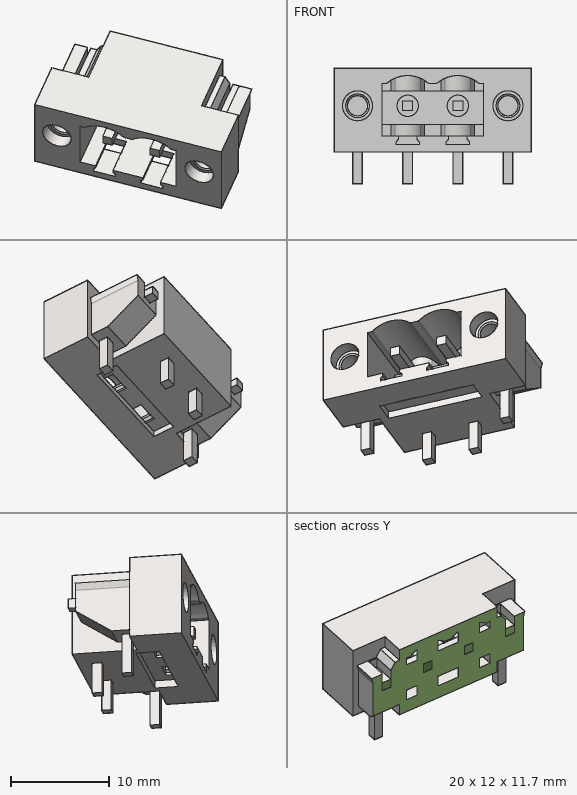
import cadquery as cq
import math


flange_length = 19.96
flange_depth = 5.33
housing_height = 8.5
housing_depth = 12.0
block_width = 12.05

pitch = 5.07
pin_size = 1.0
axis_height = 4.7
pin_tail = 3.2
contact_xs = [-pitch / 2, pitch / 2]
fixing_xs = [-1.5 * pitch, 1.5 * pitch]
contact_tip_y = 1.0
contact_rear_y = 10.5
fixing_front_y = 5.49

cavity_width = 10.22
cavity_floor = 1.62
cavity_ceiling = 6.97
cavity_depth = 8.58
scallop_radius = 3.2
scallop_peak = 7.75
scallop_blend_radius = 0.2

bar_bottom = 2.8
bar_top = 6.17
bar_depth = 1.4
bump_base_half = 1.7
bump_shoulder_half = 1.28
bump_shoulder_y = 0.8
collar_radius = 1.08
collar_depth = 0.4

groove_length = 4.17
groove_bottom = 0.78
groove_flare_bottom = 1.04
groove_flare_top = 1.3
groove_neck_half = 0.94
groove_base_half = 1.18
recess_front_y = 3.2
recess_rear_y = 5.59

insert_radius = 1.52
insert_front_y = 1.4
insert_length = 2.8
insert_bore_radius = 1.02
insert_mouth_radius = 1.2
insert_mouth_depth = 0.1

wing_outer_x = 9.46
wing_rear_y = 11.02
wing_bottom = 0.98
wing_slant_y = 7.33
wing_slant_z = 3.37
wing_top = 6.33
wing_lip_bottom = 5.6
wing_lip_overhang = 0.18
ridge_top = 7.15
ridge_width = 0.55


def box(x_min, x_max, y_min, y_max, z_min, z_max):
    """Box given by its limits along each axis."""
    size = (x_max - x_min, y_max - y_min, z_max - z_min)
    return cq.Workplane("XY").box(*size, centered=False).translate((x_min, y_min, z_min))


def extrude_back(profile, y_start, length):
    """Extrude an XZ profile from y_start toward the rear."""
    return profile.extrude(-length).translate((0, y_start, 0))


def rod(x, radius, y_start, length):
    """Cylinder along Y at the height of the pin axis."""
    profile = cq.Workplane("XZ").center(x, axis_height).circle(radius)
    return extrude_back(profile, y_start, length)


def contact_pin(x):
    """Angled contact: a tip into the cavity and a tail down through the housing."""
    half = pin_size / 2
    tip = box(x - half, x + half, contact_tip_y, contact_rear_y, axis_height - half, axis_height + half)
    tail = box(x - half, x + half, contact_rear_y - pin_size, contact_rear_y, -pin_tail, axis_height + half)
    return tip.union(tail)


def fixing_pin(x):
    """Angled solder pin lying in a wing, with its tail at the flange end."""
    half = pin_size / 2
    bar = box(x - half, x + half, fixing_front_y, housing_depth, axis_height - half, axis_height + half)
    tail = box(x - half, x + half, fixing_front_y, fixing_front_y + pin_size, -pin_tail, axis_height + half)
    return bar.union(tail)


def threaded_insert(x):
    """Sleeve with a countersunk mouth."""
    sleeve = rod(x, insert_radius, insert_front_y, insert_length)
    bore = rod(x, insert_bore_radius, insert_front_y, insert_length)
    countersink = cq.Solid.makeCone(
        insert_mouth_radius,
        insert_bore_radius,
        insert_mouth_depth,
        pnt=cq.Vector(x, insert_front_y, axis_height),
        dir=cq.Vector(0, 1, 0),
    )
    return sleeve.cut(bore).cut(cq.Workplane(countersink))


def cavity():
    """Plug opening whose ceiling has one rounded scallop above each contact."""
    half = cavity_width / 2
    arc_center_z = scallop_peak - scallop_radius
    blend_center_z = cavity_ceiling + scallop_blend_radius
    center_distance = scallop_radius + scallop_blend_radius
    blend_dx = math.sqrt(center_distance**2 - (blend_center_z - arc_center_z) ** 2)
    tangent_dx = blend_dx * scallop_radius / center_distance
    tangent_z = arc_center_z + (blend_center_z - arc_center_z) * scallop_radius / center_distance
    blend_mid_angle = (math.pi / 2 + math.atan2(blend_center_z - arc_center_z, blend_dx)) / 2
    blend_mid_dx = blend_dx - scallop_blend_radius * math.cos(blend_mid_angle)
    blend_mid_z = blend_center_z - scallop_blend_radius * math.sin(blend_mid_angle)

    profile = cq.Workplane("XZ").moveTo(-half, cavity_floor).lineTo(-half, cavity_ceiling)
    for x in contact_xs:
        profile = (
            profile.lineTo(x - blend_dx, cavity_ceiling)
            .threePointArc((x - blend_mid_dx, blend_mid_z), (x - tangent_dx, tangent_z))
            .threePointArc((x, scallop_peak), (x + tangent_dx, tangent_z))
            .threePointArc((x + blend_mid_dx, blend_mid_z), (x + blend_dx, cavity_ceiling))
        )
    profile = profile.lineTo(half, cavity_ceiling).lineTo(half, cavity_floor).close()
    return extrude_back(profile, 0, cavity_depth)


def wall_bump(x):
    """Upright rib on the cavity's rear wall with sloping flanks and a rounded front."""
    shoulder_y = cavity_depth - bump_shoulder_y
    return (
        cq.Workplane("XY")
        .moveTo(x - bump_base_half, cavity_depth)
        .lineTo(x - bump_shoulder_half, shoulder_y)
        .threePointArc((x, cavity_depth - bar_depth), (x + bump_shoulder_half, shoulder_y))
        .lineTo(x + bump_base_half, cavity_depth)
        .close()
        .extrude(housing_height)
    )


def cavity_rear_relief():
    """Crossbar and ribs standing on the cavity's rear wall, with a recess around each contact."""
    half = cavity_width / 2
    bar_front_y = cavity_depth - bar_depth
    relief = box(-half, half, bar_front_y, cavity_depth, bar_bottom, bar_top)
    for x in contact_xs:
        relief = relief.union(wall_bump(x))
    for x in contact_xs:
        relief = relief.cut(rod(x, collar_radius, bar_front_y, collar_depth))
    return relief


def dovetail_groove(x):
    """Keyway in the cavity floor, open at the front and wider at its base."""
    profile = cq.Workplane("XZ").polyline([
        (x - groove_neck_half, cavity_floor),
        (x - groove_neck_half, groove_flare_top),
        (x - groove_base_half, groove_flare_bottom),
        (x - groove_base_half, groove_bottom),
        (x + groove_base_half, groove_bottom),
        (x + groove_base_half, groove_flare_bottom),
        (x + groove_neck_half, groove_flare_top),
        (x + groove_neck_half, cavity_floor),
    ]).close()
    return extrude_back(profile, 0, groove_length)


def left_wing():
    """Bracket behind the flange with an outer lip, an inner ridge and a slot for the fixing pin."""
    pin_left = fixing_xs[0] - pin_size / 2
    pin_right = fixing_xs[0] + pin_size / 2
    block_left = -block_width / 2
    section = cq.Workplane("XZ").polyline([
        (-wing_outer_x + wing_lip_overhang, wing_bottom),
        (-wing_outer_x + wing_lip_overhang, wing_lip_bottom),
        (-wing_outer_x, wing_top),
        (pin_right, wing_top),
        (block_left - ridge_width, ridge_top),
        (block_left, ridge_top),
        (block_left, wing_bottom),
    ]).close()
    wing = extrude_back(section, flange_depth, wing_rear_y - flange_depth)
    slant = cq.Workplane("YZ").polyline([
        (wing_slant_y, wing_bottom),
        (wing_rear_y, wing_slant_z),
        (wing_rear_y, wing_bottom),
    ]).close().extrude(flange_length, both=True)
    slot = box(pin_left, pin_right, fixing_front_y, wing_rear_y, axis_height, ridge_top)
    return wing.cut(slant).cut(slot)


def build_housing(fitted_parts):
    """Insulating body, with matching openings for the parts that sit in it."""
    body = box(-flange_length / 2, flange_length / 2, 0, flange_depth, 0, housing_height)
    body = body.union(box(-block_width / 2, block_width / 2, 0, housing_depth, 0, housing_height))
    wing = left_wing()
    body = body.union(wing).union(wing.mirror("YZ"))

    body = body.cut(cavity().cut(cavity_rear_relief()))
    half = cavity_width / 2
    body = body.cut(box(-half, half, recess_front_y, recess_rear_y, 0, groove_bottom))
    for x in contact_xs:
        body = body.cut(dovetail_groove(x))
    for x in fixing_xs:
        body = body.cut(rod(x, insert_radius, 0, insert_front_y + insert_length))
    for part in fitted_parts:
        body = body.cut(part)
    return body


contact_pins = [contact_pin(x) for x in contact_xs]
fixing_pins = [fixing_pin(x) for x in fixing_xs]
threaded_inserts = [threaded_insert(x) for x in fixing_xs]
housing = build_housing(contact_pins + fixing_pins)

bodies = [housing, *contact_pins, *fixing_pins, *threaded_inserts]
result = cq.Compound.makeCompound([body.val() for body in bodies])